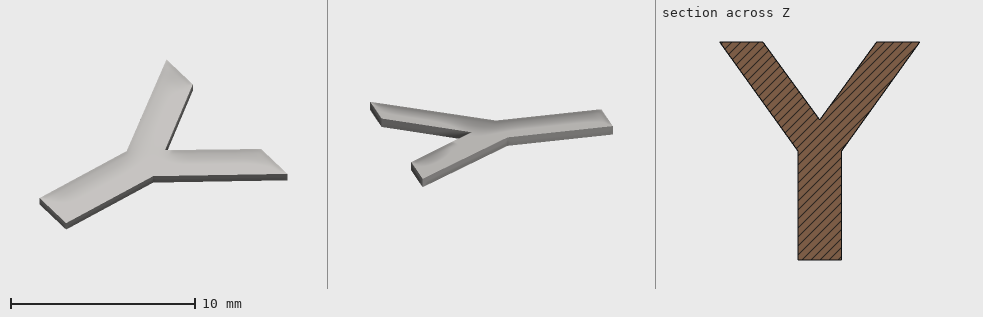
import cadquery as cq

width = 10.89
height = 11.84
thickness = 0.5

stem_width = 2.39
stem_length = 5.92
arm_end_width = 2.37
notch_depth = 4.22

half_width = width / 2
half_stem = stem_width / 2
arm_inner_x = half_width - arm_end_width
bottom_y = -height / 2
top_y = height / 2
shoulder_y = bottom_y + stem_length
notch_y = top_y - notch_depth

right_half = (
    cq.Workplane("XY")
    .moveTo(0, bottom_y)
    .lineTo(half_stem, bottom_y)
    .lineTo(half_stem, shoulder_y)
    .lineTo(half_width, top_y)
    .lineTo(arm_inner_x, top_y)
    .lineTo(0, notch_y)
)

result = right_half.mirrorY().extrude(thickness)